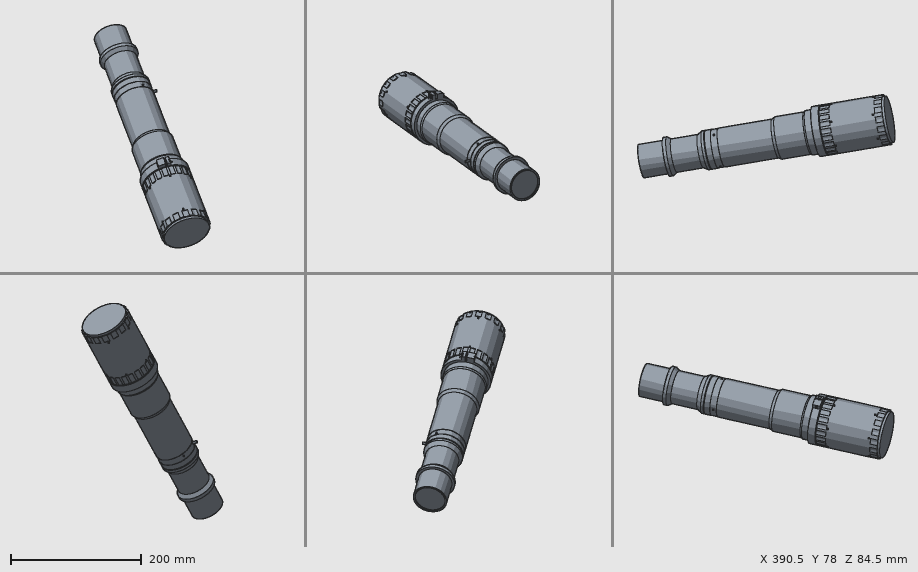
import cadquery as cq
import math

TOTAL_LENGTH = 390.5

FLANGE_START = 40.0
FLANGE_END = 45.5
FLANGE_TAPER_END = 51.5
TUBE_TAPER_START = 93.5
BAND_START = 100.8
BAND_END = 105.0
BAND_GROOVE_END = 106.2
GRIP_START = 115.5
GRIP_END = 126.0
SLEEVE_TAPER_START = 211.0
SLEEVE_START = 216.0
COLLAR_TAPER_START = 261.5
COLLAR_START = 264.5
CLAMP_START = 275.5
CLAMP_END = 287.5
NECK_END = 288.5
FLUTES_END = 304.3
END_RING_START = 375.5
END_RING_END = 386.5

EYE_RADIUS = 26.0
TUBE_RADIUS = 30.5
BAND_GROOVE_RADIUS = 30.0
GRIP_RADIUS = 30.0
SLEEVE_RADIUS = 33.2
COLLAR_RADIUS = 34.8
BARREL_RADIUS = 39.0
FLUTE_DEPTH = 1.0
LIP_RADIUS = 36.5

LENS_RADIUS = 23.5
LENS_RECESS = 1.5
LENS_BULGE = 1.0

GRIP_FLAT_COUNT = 12
GRIP_FLAT_ANGLE = 22.0
FLAT_CUTTER_DEPTH = 4.0
GRIP_HOLE_RADIUS = 1.0
GRIP_HOLE_DEPTH = 1.5
GRIP_HOLE_ANGLES = (0, 120, 240)
PIN_ANGLE = 180
PIN_RADIUS = 2.0
PIN_TIP = 36.5

BARREL_FLUTE_COUNT = 22
BARREL_FLUTE_ANGLE = 11.2
END_FLUTE_COUNT = 16
END_FLUTE_ANGLE = 13.5
END_FLUTE_OFFSET = 1.7

BARREL_HOLE_STATIONS = (306.2, 372.2)
BARREL_HOLE_COUNT = 6
BARREL_HOLE_OFFSET = 30
BARREL_HOLE_RADIUS = 1.0
BARREL_HOLE_DEPTH = 1.5
HOLE_CUT_REACH = 43.0

LUG_TOP_RADIUS = 45.5
LUG_BACK = 7.0
LUG_FRONT = -13.0
LUG_ROOT = 35.0
SLOT_WIDTH = 2.5
SLOT_FLOOR = 37.0
SCREW_HEIGHT = 41.0
SCREW_RADIUS = 1.5
SCREW_HEAD_RADIUS = 3.5
SCREW_HEAD_SEAT = 5.5
SCREW_HEAD_REACH = 15.5

CLAMP_WIDTH = CLAMP_END - CLAMP_START
CLAMP_MIDDLE = (CLAMP_START + CLAMP_END) / 2
GRIP_WIDTH = GRIP_END - GRIP_START
GRIP_MIDDLE = (GRIP_START + GRIP_END) / 2
NECK_RADIUS = BARREL_RADIUS - FLUTE_DEPTH


def turn_about_axis(shape, angle):
    """Turn a shape about X; angle 0 keeps it on the -Y side and 90 puts it on top."""
    return shape.rotate((0, 0, 0), (1, 0, 0), -angle)


def radial_cylinder(station, angle, radius, inner, outer):
    """Cylinder along a radius of the body, between two distances from the axis."""
    plane = cq.Plane(origin=(station, -inner, 0), xDir=(1, 0, 0), normal=(0, -1, 0))
    cylinder = cq.Workplane(plane).circle(radius).extrude(outer - inner)
    return turn_about_axis(cylinder, angle)


def turned_body():
    profile = [
        (0, EYE_RADIUS),
        (FLANGE_START, EYE_RADIUS),
        (FLANGE_START, TUBE_RADIUS),
        (FLANGE_END, TUBE_RADIUS),
        (FLANGE_TAPER_END, EYE_RADIUS),
        (TUBE_TAPER_START, EYE_RADIUS),
        (BAND_START, TUBE_RADIUS),
        (BAND_END, TUBE_RADIUS),
        (BAND_END, BAND_GROOVE_RADIUS),
        (BAND_GROOVE_END, BAND_GROOVE_RADIUS),
        (BAND_GROOVE_END, TUBE_RADIUS),
        (GRIP_START, TUBE_RADIUS),
        (GRIP_START, GRIP_RADIUS),
        (GRIP_END, GRIP_RADIUS),
        (GRIP_END, TUBE_RADIUS),
        (SLEEVE_TAPER_START, TUBE_RADIUS),
        (SLEEVE_START, SLEEVE_RADIUS),
        (COLLAR_TAPER_START, SLEEVE_RADIUS),
        (COLLAR_START, COLLAR_RADIUS),
        (CLAMP_START, COLLAR_RADIUS),
        (CLAMP_START, BARREL_RADIUS),
        (CLAMP_END, BARREL_RADIUS),
        (CLAMP_END, NECK_RADIUS),
        (NECK_END, NECK_RADIUS),
        (NECK_END, BARREL_RADIUS),
        (END_RING_END, BARREL_RADIUS),
        (END_RING_END, LIP_RADIUS),
        (TOTAL_LENGTH, LIP_RADIUS),
    ]
    outline = cq.Workplane("XY").moveTo(0, 0)
    for station, radius in profile:
        outline = outline.lineTo(station, radius)
    outline = outline.lineTo(TOTAL_LENGTH, 0).close()
    return outline.revolve(360, (0, 0, 0), (1, 0, 0))


def lens_recess():
    """Shallow bore whose floor bulges back towards the eye end as a dome."""
    half_chord = LENS_RADIUS / 2
    dome_radius = (LENS_RADIUS**2 + LENS_BULGE**2) / (2 * LENS_BULGE)
    half_chord_sag = dome_radius - math.sqrt(dome_radius**2 - half_chord**2)
    apex = LENS_RECESS - LENS_BULGE
    outline = (
        cq.Workplane("XY")
        .moveTo(0, 0)
        .lineTo(0, LENS_RADIUS)
        .lineTo(LENS_RECESS, LENS_RADIUS)
        .threePointArc((apex + half_chord_sag, half_chord), (apex, 0))
        .close()
    )
    return outline.revolve(360, (0, 0, 0), (1, 0, 0))


def cut_grip(body):
    flat_distance = GRIP_RADIUS * math.cos(math.radians(GRIP_FLAT_ANGLE / 2))
    flat_length = 2 * GRIP_RADIUS * math.sin(math.radians(GRIP_FLAT_ANGLE / 2))
    flat_cutter = cq.Workplane("XY").box(GRIP_WIDTH, FLAT_CUTTER_DEPTH, flat_length)
    flat_cutter = flat_cutter.translate((GRIP_MIDDLE, -flat_distance - FLAT_CUTTER_DEPTH / 2, 0))
    for index in range(GRIP_FLAT_COUNT):
        body = body.cut(turn_about_axis(flat_cutter, index * 360 / GRIP_FLAT_COUNT))
    hole_floor = flat_distance - GRIP_HOLE_DEPTH
    for angle in GRIP_HOLE_ANGLES:
        body = body.cut(radial_cylinder(GRIP_MIDDLE, angle, GRIP_HOLE_RADIUS, hole_floor, HOLE_CUT_REACH))
    return body.union(radial_cylinder(GRIP_MIDDLE, PIN_ANGLE, PIN_RADIUS, hole_floor, PIN_TIP))


def cut_flutes(body, start, end, count, flute_angle, offset):
    """Concave flutes along X, each spanning flute_angle of the barrel surface."""
    half_angle = math.radians(flute_angle / 2)
    half_width = BARREL_RADIUS * math.sin(half_angle)
    sag = BARREL_RADIUS * math.cos(half_angle) - (BARREL_RADIUS - FLUTE_DEPTH)
    cutter_radius = (half_width**2 + sag**2) / (2 * sag)
    cutter_centre = BARREL_RADIUS - FLUTE_DEPTH + cutter_radius
    plane = cq.Plane(origin=(start, -cutter_centre, 0), xDir=(0, 1, 0), normal=(1, 0, 0))
    cutter = cq.Workplane(plane).circle(cutter_radius).extrude(end - start)
    for index in range(count):
        body = body.cut(turn_about_axis(cutter, offset + index * 360 / count))
    return body


def cut_barrel_holes(body):
    hole_floor = BARREL_RADIUS - BARREL_HOLE_DEPTH
    for station in BARREL_HOLE_STATIONS:
        for index in range(BARREL_HOLE_COUNT):
            angle = BARREL_HOLE_OFFSET + index * 360 / BARREL_HOLE_COUNT
            hole = radial_cylinder(station, angle, BARREL_HOLE_RADIUS, hole_floor, HOLE_CUT_REACH)
            body = body.cut(hole)
    return body


def add_clamp_lug(body):
    lug_length = LUG_BACK - LUG_FRONT
    lug = cq.Workplane("XY").box(CLAMP_WIDTH, lug_length, LUG_TOP_RADIUS - LUG_ROOT)
    lug = lug.translate((CLAMP_MIDDLE, (LUG_BACK + LUG_FRONT) / 2, (LUG_TOP_RADIUS + LUG_ROOT) / 2))
    rounding = cq.Workplane("YZ", origin=(CLAMP_START, 0, 0)).circle(LUG_TOP_RADIUS).extrude(CLAMP_WIDTH)
    body = body.union(lug.intersect(rounding))

    slot = cq.Workplane("XY").box(CLAMP_WIDTH, SLOT_WIDTH, LUG_TOP_RADIUS - SLOT_FLOOR)
    slot = slot.translate((CLAMP_MIDDLE, 0, (LUG_TOP_RADIUS + SLOT_FLOOR) / 2))

    screw_start = cq.Workplane("XZ", origin=(CLAMP_MIDDLE, LUG_BACK, SCREW_HEIGHT))
    screw_hole = screw_start.circle(SCREW_RADIUS).extrude(lug_length)
    head_start = cq.Workplane("XZ", origin=(CLAMP_MIDDLE, SCREW_HEAD_REACH, SCREW_HEIGHT))
    screw_head = head_start.circle(SCREW_HEAD_RADIUS).extrude(SCREW_HEAD_REACH - SCREW_HEAD_SEAT)
    return body.cut(slot).cut(screw_hole).cut(screw_head)


body = turned_body().cut(lens_recess())
body = cut_grip(body)
body = cut_flutes(body, CLAMP_END, FLUTES_END, BARREL_FLUTE_COUNT, BARREL_FLUTE_ANGLE, 0)
body = cut_flutes(body, END_RING_START, END_RING_END, END_FLUTE_COUNT, END_FLUTE_ANGLE, END_FLUTE_OFFSET)
body = cut_barrel_holes(body)
result = add_clamp_lug(body)